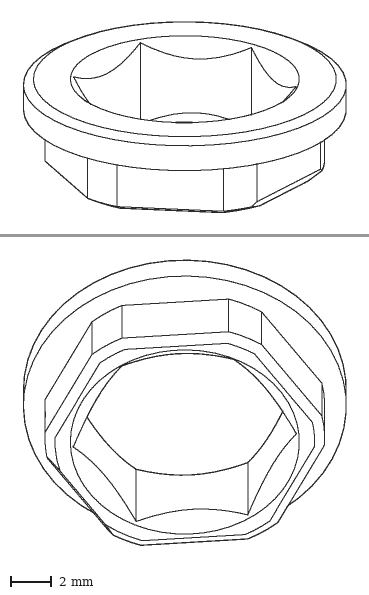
import cadquery as cq
import math

flange_diameter = 15.88
total_height = 4.59
flange_thickness = 1.6
body_height = total_height - flange_thickness

body_across_flats = 12.7
body_corner_diameter = 13.75
bore_across_flats = 9.53

chamfer_width = 0.5
chamfer_height = chamfer_width * math.tan(math.radians(30))

lead_in_diameter = 11.26
lead_in_angle = 45.0


def hexagon_prism(across_flats, height):
    """Upright hexagonal prism standing on the XY plane."""
    across_corners = across_flats / math.cos(math.radians(30))
    return cq.Workplane("XY").polygon(6, across_corners).extrude(height)


def make_body():
    """Hexagonal body with corners rounded by a coaxial cylinder."""
    corner_cylinder = cq.Workplane("XY").circle(body_corner_diameter / 2).extrude(body_height)
    body = hexagon_prism(body_across_flats, body_height).intersect(corner_cylinder)
    return body.faces("<Z").chamfer(chamfer_width, chamfer_height)


def make_flange():
    """Round flange with a chamfered top rim."""
    radius = flange_diameter / 2
    profile = [
        (0, body_height),
        (radius, body_height),
        (radius, total_height - chamfer_height),
        (radius - chamfer_width, total_height),
        (0, total_height),
    ]
    return cq.Workplane("XZ").polyline(profile).close().revolve(360, (0, 0), (0, 1))


def make_lead_in():
    """Cone with its base on the XY plane and its tip pointing up."""
    radius = lead_in_diameter / 2
    depth = radius / math.tan(math.radians(lead_in_angle))
    return cq.Workplane(cq.Solid.makeCone(radius, 0, depth))


bottom_lead_in = make_lead_in()
top_lead_in = bottom_lead_in.mirror("XY").translate((0, 0, total_height))

result = (
    make_body()
    .union(make_flange())
    .cut(hexagon_prism(bore_across_flats, total_height))
    .cut(bottom_lead_in)
    .cut(top_lead_in)
)